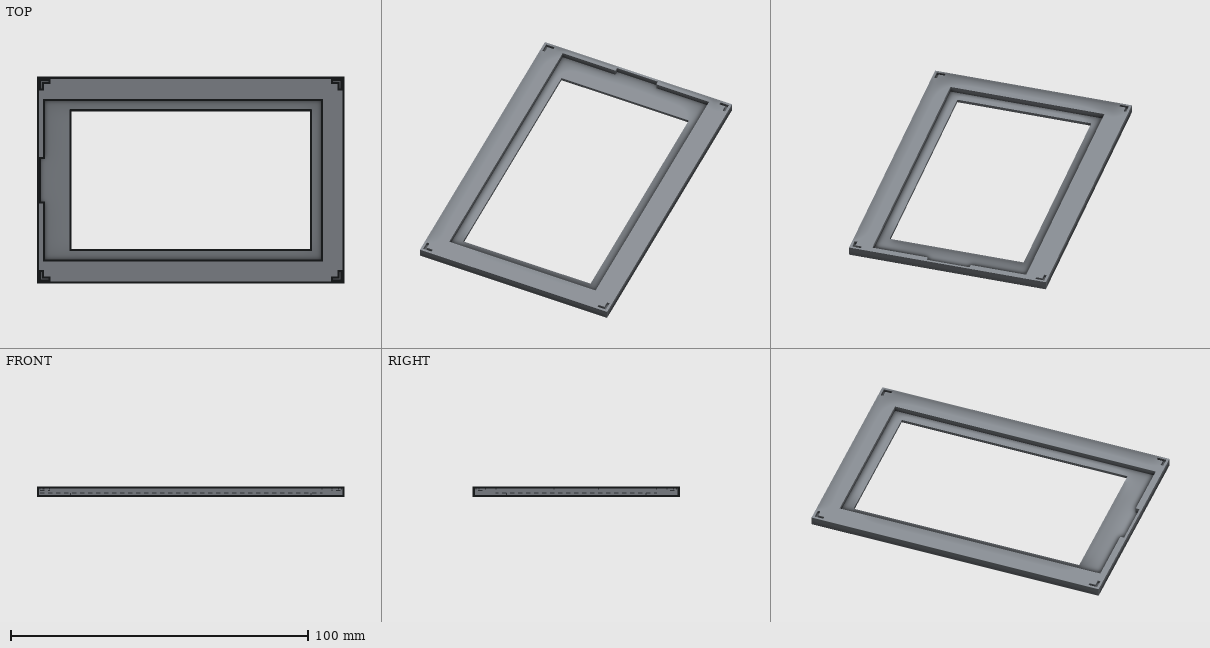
import cadquery as cq

length = 103.0
width = 69.0
thickness = 3.0

window_border = 11.0

recess_depth = 2.0
recess_left_border = 2.2
recess_right_border = 7.3
recess_side_border = 7.5

notch_width = 15.0
notch_border = 0.8

mark_border = 0.8
mark_arm = 3.1
mark_groove = 0.9
mark_depth = 1.0


def pocket(x_min, x_max, y_min, y_max, depth):
    """Rectangular cutter reaching down from the top face."""
    return (
        cq.Workplane("XY")
        .box(x_max - x_min, y_max - y_min, depth, centered=False)
        .translate((x_min, y_min, thickness - depth))
    )


def corner_mark():
    """L-shaped cutter for the -X, -Y corner."""
    x_start = mark_border - length / 2
    y_start = mark_border - width / 2
    along_x = pocket(x_start, x_start + mark_arm, y_start, y_start + mark_groove, mark_depth)
    along_y = pocket(x_start, x_start + mark_groove, y_start, y_start + mark_arm, mark_depth)
    return along_x.union(along_y)


plate = cq.Workplane("XY").box(length, width, thickness, centered=(True, True, False))

window_x = length / 2 - window_border
window_y = width / 2 - window_border
window = pocket(-window_x, window_x, -window_y, window_y, thickness)

recess_left = recess_left_border - length / 2
recess_right = length / 2 - recess_right_border
recess_y = width / 2 - recess_side_border
recess = pocket(recess_left, recess_right, -recess_y, recess_y, recess_depth)

notch_left = notch_border - length / 2
notch = pocket(notch_left, recess_left, -notch_width / 2, notch_width / 2, recess_depth)

result = plate.cut(window).cut(recess).cut(notch)

front_left = corner_mark()
front_right = front_left.mirror("YZ")
for mark in (front_left, front_right):
    result = result.cut(mark).cut(mark.mirror("XZ"))